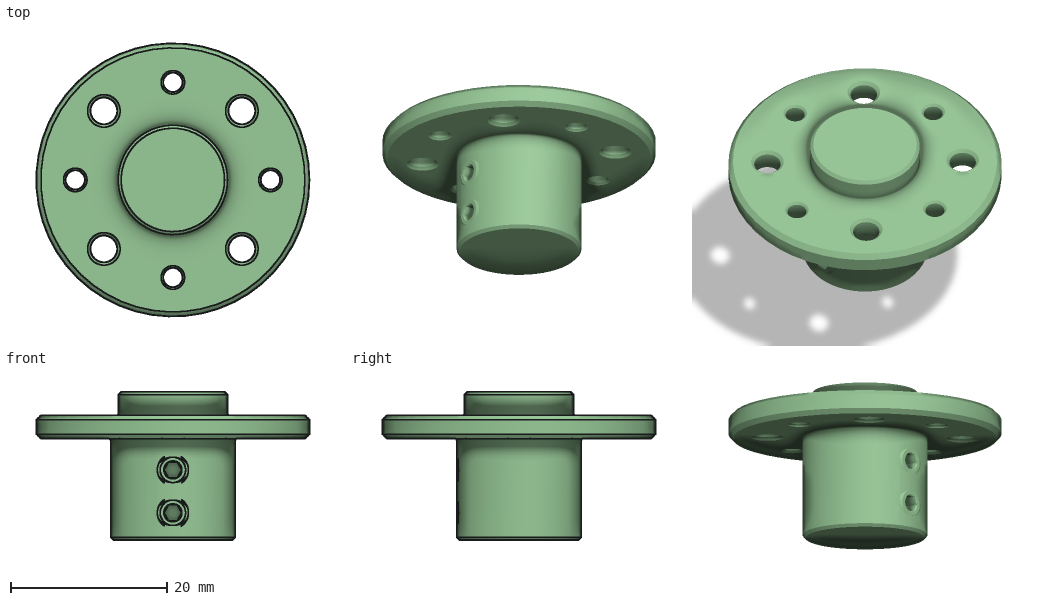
import cadquery as cq
import math

disc_dia = 35.0
disc_thickness = 3.0
disc_chamfer = 0.6
boss_dia = 14.0
boss_height = 3.0
hub_dia = 16.0
hub_height = 13.0
end_chamfer = 0.4
root_fillet = 0.2

hole_pitch_radius = 12.5
holes_per_size = 4
large_hole_dia = 3.4
large_hole_chamfer = 0.4
small_hole_dia = 2.45
small_hole_chamfer = 0.28

screw_heights = (3.5, 9.0)
screw_dia = 4.0
screw_face_dia = 3.25
screw_length = 4.0
screw_chamfer_depth = 0.2
pilot_dia = 3.25
socket_flats = 2.0
socket_depth = 2.0
socket_chamfer_depth = 0.1

disc_top = hub_height + disc_thickness
boss_top = disc_top + boss_height
hub_radius = hub_dia / 2
socket_corners = socket_flats / math.cos(math.pi / 6)


def flange_blank():
    """Revolved disc with its boss and hub, with softened root corners."""
    disc_radius = disc_dia / 2
    boss_radius = boss_dia / 2
    arc_offset = root_fillet * (1 - math.sqrt(0.5))
    return (
        cq.Workplane("XZ")
        .moveTo(0, 0)
        .lineTo(hub_radius - end_chamfer, 0)
        .lineTo(hub_radius, end_chamfer)
        .lineTo(hub_radius, hub_height - root_fillet)
        .threePointArc(
            (hub_radius + arc_offset, hub_height - arc_offset),
            (hub_radius + root_fillet, hub_height),
        )
        .lineTo(disc_radius - disc_chamfer, hub_height)
        .lineTo(disc_radius, hub_height + disc_chamfer)
        .lineTo(disc_radius, disc_top - disc_chamfer)
        .lineTo(disc_radius - disc_chamfer, disc_top)
        .lineTo(boss_radius + root_fillet, disc_top)
        .threePointArc(
            (boss_radius + arc_offset, disc_top + arc_offset),
            (boss_radius, disc_top + root_fillet),
        )
        .lineTo(boss_radius, boss_top - end_chamfer)
        .lineTo(boss_radius - end_chamfer, boss_top)
        .lineTo(0, boss_top)
        .close()
        .revolve(360, (0, 0, 0), (0, 1, 0))
    )


def disc_hole_cutters(diameter, chamfer, start_angle):
    """Ring of through-hole cutters, chamfered at both disc faces."""
    radius = diameter / 2
    cutter = (
        cq.Workplane("XZ")
        .moveTo(0, hub_height)
        .lineTo(radius + chamfer, hub_height)
        .lineTo(radius, hub_height + chamfer)
        .lineTo(radius, disc_top - chamfer)
        .lineTo(radius + chamfer, disc_top)
        .lineTo(0, disc_top)
        .close()
        .revolve(360, (0, 0, 0), (0, 1, 0))
        .val()
    )
    places = cq.Workplane("XY").polarArray(hole_pitch_radius, start_angle, 360, holes_per_size)
    return places.eachpoint(lambda place: cutter.moved(place))


def screw_plane(height):
    """Plane of the screw face, tangent to the hub and facing outward along -Y."""
    return cq.Workplane("XZ", origin=(0, -hub_radius, height))


def screw_blank(height):
    """Screw without its socket: a cylinder with a shallow cone at its outer end."""
    core_length = screw_length - screw_chamfer_depth
    core = (
        screw_plane(height)
        .workplane(offset=-screw_length)
        .circle(screw_dia / 2)
        .extrude(core_length)
    )
    cone = (
        screw_plane(height)
        .circle(screw_face_dia / 2)
        .workplane(offset=-screw_chamfer_depth)
        .circle(screw_dia / 2)
        .loft()
    )
    return core.union(cone)


def set_screw(height):
    """Set screw with a hexagonal socket whose mouth is countersunk."""
    socket = screw_plane(height).polygon(6, socket_corners).extrude(-socket_depth)
    mouth = (
        screw_plane(height)
        .circle(socket_corners / 2)
        .workplane(offset=-socket_chamfer_depth)
        .circle(socket_flats / 2)
        .loft()
    )
    return screw_blank(height).cut(socket).cut(mouth)


def flange_hub():
    """Flange with its disc holes and the matching recesses for the set screws."""
    body = flange_blank()
    body = body.cut(disc_hole_cutters(small_hole_dia, small_hole_chamfer, 0))
    body = body.cut(disc_hole_cutters(large_hole_dia, large_hole_chamfer, 180 / holes_per_size))
    for height in screw_heights:
        pilot = screw_plane(height).circle(pilot_dia / 2).extrude(-screw_length)
        body = body.cut(pilot).cut(screw_blank(height))
    return body


hub = flange_hub()
set_screws = [set_screw(height) for height in screw_heights]

result = cq.Compound.makeCompound([hub.solids().val(), *[screw.solids().val() for screw in set_screws]])